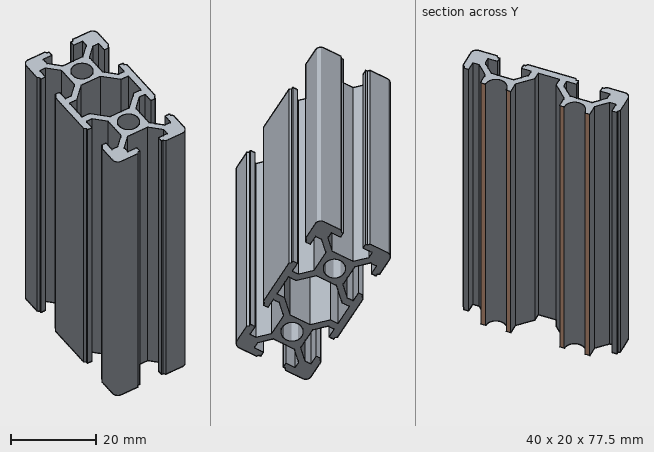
import cadquery as cq
import math

cell = 20.0
length = 77.5
width = 2 * cell

corner_radius = 1.5
wall = 1.8
slot_mouth = 6.05
step_depth = 0.5
step_floor = 0.5
step_slope = 0.4
slot_inner_width = 11.0
core_side = 7.8
web_thickness = 1.55
bore_diameter = 5.2
cavity_width = 12.4

half_cell = cell / 2
half_mouth = slot_mouth / 2
half_inner = slot_inner_width / 2
half_core = core_side / 2
lip_inside = half_cell - wall
web_offset = web_thickness / math.sqrt(2)

cell_centres = [(-half_cell, 0), (half_cell, 0)]


def mirrored_prism(half_outline):
    """Extrude an outline given by its +X half, mirrored about the Y axis."""
    other_half = [(-x, y) for x, y in reversed(half_outline)]
    return cq.Workplane("XY").polyline(half_outline + other_half).close().extrude(length)


def make_slot():
    """T-slot opening toward +Y of a cell centred on the origin."""
    riser_foot = half_mouth + step_floor
    return mirrored_prism([
        (half_core - web_offset, half_core),
        (half_inner, half_inner + web_offset),
        (half_inner, lip_inside),
        (half_mouth, lip_inside),
        (half_mouth, half_cell - step_depth),
        (riser_foot, half_cell - step_depth),
        (riser_foot + step_slope, half_cell),
    ])


def make_cavity():
    """Octagonal hollow between the two cores."""
    half_top = half_cell - half_inner - wall
    half_middle = cavity_width / 2
    web_sum = half_cell - web_offset
    return mirrored_prism([
        (half_top, -lip_inside),
        (half_top, half_top - web_sum),
        (half_middle, half_middle - web_sum),
        (half_middle, web_sum - half_middle),
        (half_top, web_sum - half_top),
        (half_top, lip_inside),
    ])


result = (
    cq.Workplane("XY")
    .rect(width, cell)
    .extrude(length)
    .edges("|Z")
    .fillet(corner_radius)
)

slot = make_slot()
for x, y in cell_centres:
    end_angle = 90 if x < 0 else -90
    for angle in (0, 180, end_angle):
        turned_slot = slot.rotate((0, 0, 0), (0, 0, 1), angle)
        result = result.cut(turned_slot.translate((x, y, 0)))

result = result.cut(make_cavity())

bores = cq.Workplane("XY").pushPoints(cell_centres).circle(bore_diameter / 2).extrude(length)
result = result.cut(bores)